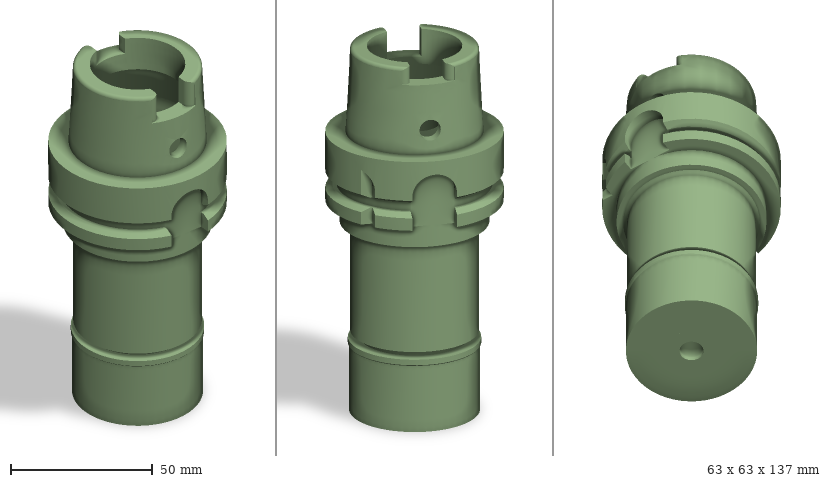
import cadquery as cq
import math


total_height = 137.0
flange_top = 105.0
flange_bottom = 79.0
collar_bottom = 71.0
shank_bottom = 30.0
spigot_bottom = 6.8

rim_radius = 22.7
taper_base_radius = 24.4
flange_radius = 31.5
collar_radius = 26.5
shank_radius = 22.7
shank_chamfer = 1.4
spigot_radius = 19.3
rim_round = 1.4

groove_height = 87.0
groove_floor_width = 3.7
groove_mouth_width = 6.6
groove_radius = 27.5
groove_edge_radius = 29.0

mouth_radius = 16.9
mouth_depth = 13.2
chamber_radius = 20.1
chamber_floor = 108.0
chamber_floor_round = 3.0
channel_radius = 8.9

drive_slot_width = 12.6
drive_slot_corner = 2.3
shallow_slot_depth = 6.3
deep_slot_depth = 10.4

cross_hole_radius = 3.8
cross_hole_height = 113.8

keyway_radius = 8.1
keyway_center_height = 91.8
notch_floor_offset = 20.1
notch_side_offset = 20.1
notch_center_height = 92.6

nut_radius = 23.2
nut_top = 27.4
band_radius = 23.5
band_width = 2.5
band_chamfer = band_radius - nut_radius

collet_bore_radius = 4.2
collet_top = 41.1


def revolve_profile(points):
    """Revolve a closed outline of (radius, height) points about Z."""
    return cq.Workplane("XZ").polyline(points).close().revolve(360, (0, 0, 0), (0, 1, 0))


def cylinder(radius, bottom, top):
    """Cylinder on the Z axis between two heights."""
    return cq.Workplane("XY").workplane(offset=bottom).circle(radius).extrude(top - bottom)


def holder_blank():
    """Solid turned shape of the holder, with the rim rounded."""
    blank = revolve_profile([
        (0, spigot_bottom),
        (spigot_radius, spigot_bottom),
        (spigot_radius, shank_bottom),
        (shank_radius, shank_bottom),
        (shank_radius, collar_bottom - shank_chamfer),
        (shank_radius + shank_chamfer, collar_bottom),
        (collar_radius, collar_bottom),
        (collar_radius, flange_bottom),
        (flange_radius, flange_bottom),
        (flange_radius, flange_top),
        (taper_base_radius, flange_top),
        (rim_radius, total_height),
        (0, total_height),
    ])
    return blank.faces(">Z").edges().fillet(rim_round)


def gripper_groove():
    """Ring with chamfered edges that reach the outer face of the flange."""
    half_floor = groove_floor_width / 2
    half_mouth = groove_mouth_width / 2
    return revolve_profile([
        (groove_radius, groove_height - half_floor),
        (groove_edge_radius, groove_height - half_floor),
        (flange_radius, groove_height - half_mouth),
        (flange_radius, groove_height + half_mouth),
        (groove_edge_radius, groove_height + half_floor),
        (groove_radius, groove_height + half_floor),
    ])


def cavity():
    """Straight mouth, wider round-bottomed chamber below it, and a channel along the holder."""
    mouth = cylinder(mouth_radius, total_height - mouth_depth, total_height)
    chamber = cylinder(chamber_radius, chamber_floor, total_height - mouth_depth)
    chamber = chamber.faces("<Z").edges().fillet(chamber_floor_round)
    channel = cylinder(channel_radius, spigot_bottom, chamber_floor)
    return mouth.union(chamber).union(channel)


def drive_slot(side, depth):
    """Slot on the +X (side = 1) or -X (side = -1) wall, flaring into the outside of the taper."""
    half_width = drive_slot_width / 2
    corner_y = half_width + drive_slot_corner
    corner_x = math.sqrt((rim_radius - drive_slot_corner) ** 2 - corner_y ** 2)
    end_angle = math.atan2(corner_y, corner_x)
    middle_angle = (end_angle - math.pi / 2) / 2

    def on_corner(angle):
        return (corner_x + drive_slot_corner * math.cos(angle),
                corner_y + drive_slot_corner * math.sin(angle))

    middle_x, middle_y = on_corner(middle_angle)
    end_x, end_y = on_corner(end_angle)
    outline = (
        cq.Workplane("XY")
        .workplane(offset=total_height - depth)
        .moveTo(0, -half_width)
        .lineTo(corner_x, -half_width)
        .threePointArc((middle_x, -middle_y), (end_x, -end_y))
        .lineTo(flange_radius, -end_y)
        .lineTo(flange_radius, end_y)
        .lineTo(end_x, end_y)
        .threePointArc((middle_x, middle_y), (corner_x, half_width))
        .lineTo(0, half_width)
        .close()
    )
    slot = outline.extrude(depth)
    if side < 0:
        slot = slot.mirror("YZ")
    return slot


def cross_hole():
    """Round cutter along X, long enough for both walls."""
    return (
        cq.Workplane("YZ")
        .workplane(offset=-flange_radius)
        .center(0, cross_hole_height)
        .circle(cross_hole_radius)
        .extrude(2 * flange_radius)
    )


def round_topped_slot(side, center_y, center_height, floor_offset):
    """Keyway cutter open outward along X and open at the bottom of the flange."""
    return (
        cq.Workplane("YZ")
        .workplane(offset=side * floor_offset)
        .moveTo(center_y - keyway_radius, flange_bottom)
        .lineTo(center_y + keyway_radius, flange_bottom)
        .lineTo(center_y + keyway_radius, center_height)
        .threePointArc((center_y, center_height + keyway_radius),
                       (center_y - keyway_radius, center_height))
        .close()
        .extrude(side * flange_radius)
    )


def make_holder():
    """Turned blank with the groove, cavity, cross hole, drive slots, keyways and notch cut away."""
    holder = holder_blank().cut(gripper_groove()).cut(cavity()).cut(cross_hole())
    for side, depth in ((-1, shallow_slot_depth), (1, deep_slot_depth)):
        holder = holder.cut(drive_slot(side, depth))
        holder = holder.cut(round_topped_slot(side, 0, keyway_center_height, collar_radius))
    notch_center_y = notch_side_offset + keyway_radius
    return holder.cut(round_topped_slot(-1, notch_center_y, notch_center_height, notch_floor_offset))


def make_nut():
    """Nut with a thin band at its top edge, a socket for the spigot and a hole for the collet."""
    band_bottom = nut_top - band_width
    body = revolve_profile([
        (channel_radius, 0),
        (nut_radius, 0),
        (nut_radius, band_bottom),
        (band_radius, band_bottom + band_chamfer),
        (band_radius, nut_top),
        (channel_radius, nut_top),
    ])
    socket = cylinder(spigot_radius, spigot_bottom, nut_top)
    return body.cut(socket)


def make_collet():
    """Plain sleeve that fills the lower end of the channel."""
    return cylinder(channel_radius, 0, collet_top).cut(cylinder(collet_bore_radius, 0, collet_top))


holder = make_holder()
nut = make_nut()
collet = make_collet()

result = cq.Compound.makeCompound([holder.val(), nut.val(), collet.val()])